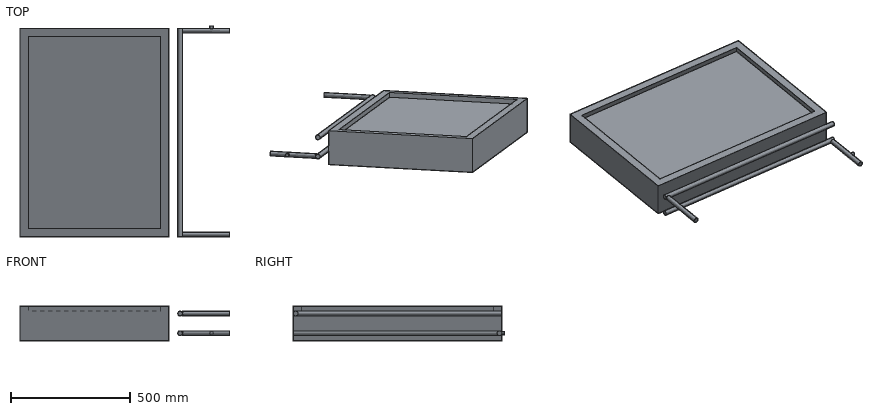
import cadquery as cq

overall_length = 880.0
overall_width = 885.0

tray_length = 625.0
tray_width = 875.0
tray_height = 145.0
rim_width = 35.0
pocket_depth = 20.0

rod_diameter = 20.0
rod_radius = rod_diameter / 2
bar_gap = 37.0
lower_rod_z = 32.0
upper_rod_z = 114.0
bar_x = tray_length + bar_gap + rod_radius
arm_start_x = bar_x + rod_radius
arm_length = overall_length - arm_start_x
front_arm_y = rod_radius
back_arm_y = tray_width - rod_radius

knob_diameter = 15.0
knob_x = 804.0
knob_end_y = overall_width


def make_tray():
    """Rectangular block with a shallow pocket inside its rim."""
    block = cq.Workplane("XY").box(tray_length, tray_width, tray_height, centered=False)
    return (
        block.faces(">Z")
        .workplane(centerOption="CenterOfBoundBox")
        .rect(tray_length - 2 * rim_width, tray_width - 2 * rim_width)
        .cutBlind(-pocket_depth)
    )


def make_bar(z):
    """Long rod beside the tray, running along Y at height z."""
    return (
        cq.Workplane("XZ", origin=(bar_x, 0, z))
        .circle(rod_radius)
        .extrude(-tray_width)
    )


def make_arm(y, z):
    """Short rod running along X, its square end touching the side of a bar."""
    return (
        cq.Workplane("YZ", origin=(arm_start_x, y, z))
        .circle(rod_radius)
        .extrude(arm_length)
    )


def make_knob(arm):
    """Small cylinder along Y, with its base shaped to the round arm."""
    knob_length = knob_end_y - back_arm_y
    peg = (
        cq.Workplane("XZ", origin=(knob_x, back_arm_y, lower_rod_z))
        .circle(knob_diameter / 2)
        .extrude(-knob_length)
    )
    return peg.cut(arm)


tray = make_tray()
bars = [make_bar(z) for z in (lower_rod_z, upper_rod_z)]
arm_places = [(back_arm_y, lower_rod_z), (front_arm_y, upper_rod_z)]
arms = [make_arm(y, z) for y, z in arm_places]
lower_arm = arms[0]
knob = make_knob(lower_arm)

result = cq.Compound.makeCompound(
    [
        tray.val(),
        *[bar.val() for bar in bars],
        *[arm.val() for arm in arms],
        *knob.vals(),
    ]
)